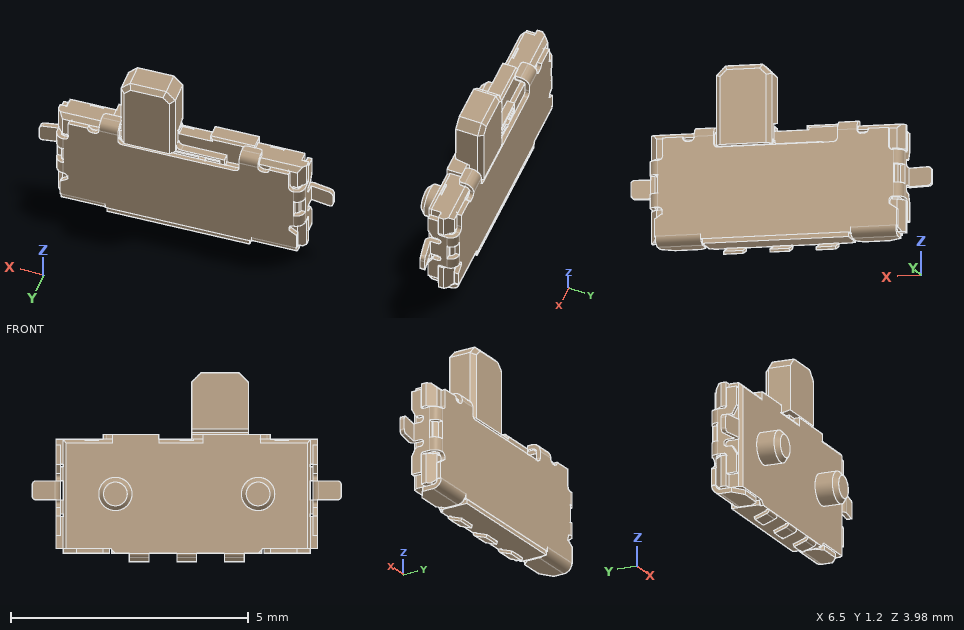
import cadquery as cq
import math


HALF_WIDTH = 2.6
RIM_HALF_WIDTH = 2.75
HALF_HEIGHT = 1.15
LIP_HALF_HEIGHT = 1.25
HOUSING_DEPTH = 0.6
RIM_FRONT_Y = 0.3
RIM_CHAMFER_Y = 0.42
FRONT_CHAMFER_X = 0.06
FRONT_CHAMFER = 0.08
BACK_CHAMFER = 0.1
LIP_BACK_Y = 0.35
LEFT_LIP_X = (-1.565, -0.585)
LEFT_LIP_CHAMFER = 0.05
RIGHT_LIP_X = (0.34, 1.545)
LIP_STEP_Y = 0.12
FLANGE_TOP_HALF = 1.6
FLANGE_BOTTOM_HALF = 1.5
FLANGE_BACK_HALF = 1.58
FLANGE_SLANT_DEPTH = 0.06
PEG_X = 1.5
PEG_RADIUS = 0.35
PEG_LENGTH = 0.5
PEG_CHAMFER = 0.1
MARK_SPACING = 2.0
MARK_WIDTH = 0.28
MARK_Y = (FRONT_CHAMFER, 0.12)
MARK_DEPTH = 0.03

CAVITY_HALF_WIDTH = 2.4
CHANNEL_FRONT_Y = LIP_BACK_Y
CHANNEL_Z = (0.65, 1.05)
POCKET_FRONT_Y = 0.45
POCKET_BOTTOM_Z = -0.75
SLOT_HALF_WIDTH = 1.4
KNOB_X = 0.7
KNOB_WIDTH = 1.2
KNOB_TOP = 2.55
KNOB_Y = (0.1, 0.7)
KNOB_CORNER = 0.2
KNOB_BACK_CHAMFER = 0.1
KNOB_LIP_Z = 1.365
NECK_TOP_Z = 1.295
NECK_FRONT_Y = 0.41
KNOB_BACK_BOTTOM_Z = 0.85
BASE_HALF_LENGTH = 1.66
BASE_BACK_Y = 0.515
BASE_TOP_Z = 0.85
BASE_FILLET = 0.1

CONTACT_HALF_LENGTH = 1.56
CONTACT_BACK_Y = 0.55
CONTACT_Z = (0.7, 0.8)
CONTACT_BUMP_OFFSET = 1.175
CONTACT_BUMP_WIDTH = 0.15

SHEET = 0.1
BEND_OUTER = 0.2
BEND_INNER = BEND_OUTER - SHEET
COVER_BACK_Y = HOUSING_DEPTH + SHEET
BEND_Y = COVER_BACK_Y - BEND_OUTER
BEND_Z = LIP_HALF_HEIGHT - BEND_OUTER
BEND_X = RIM_HALF_WIDTH - BEND_OUTER
EDGE_LOW_Z = 0.95
EDGE_CENTER_Z = 0.8
EDGE_FILLET = BEND_Z - EDGE_LOW_Z
UPPER_EDGE_X = 2.44
BUMP_FOOT_X = 1.91
RELIEF_X = 2.45
RELIEF_BOTTOM_Z = -0.57
RELIEF_FOOT_Z = -0.685
TOP_TAB_X = 1.55
TOP_TAB_WIDTH = 0.42
TOP_TAB_TIP_Y = 0.35
TOP_TAB_CORNER = 0.07
LOWER_EDGE_X = 2.62
BOTTOM_TAB_X = (1.62, 2.6)
BOTTOM_TAB_TIP_X = (1.76, 2.32)
BOTTOM_TAB_TIP_Y = 0.05
BOTTOM_TAB_SHOULDER_Y = 0.245

WALL_Z = 0.075
WALL_HALF_HEIGHT = 0.5
RIM_GAP_HALF_HEIGHT = 0.545
EAR_HALF_HEIGHT = 0.95
EAR_Y = (0.06, 0.29)
EAR_FILLET = 0.06
EAR_SLANT_Z = 0.54
SLANT_END_Y = 0.166
WALL_SLOT_OUTER_Z = 0.355
WALL_SLOT_ROUND_Y = 0.275
SOLDER_HALF_WIDTH = 0.2
SOLDER_TIP_X = 3.25
SOLDER_TIP_Y = (0.085, 0.19)
SOLDER_ROOT_Y = 0.115
SOLDER_BEND = 0.12
SOLDER_CORNER = 0.08

TERMINAL_PITCH = 1.0
TERMINAL_WIDTH = 0.42
TERMINAL_SHEET = 0.065
TERMINAL_BEND = 0.09
TERMINAL_BOTTOM_Z = -1.43
TERMINAL_SLOPE = 20


def block(x, y, z):
    """Box from (low, high) pairs along each axis."""
    size = (x[1] - x[0], y[1] - y[0], z[1] - z[0])
    return cq.Workplane("XY").box(*size, centered=False).translate((x[0], y[0], z[0]))


def yz_prism(sketch, x):
    """Extrude a closed YZ wire between two X positions."""
    return sketch.extrude(x[1] - x[0]).translate((x[0], 0, 0))


def both_sides(shape):
    """The shape together with its mirror image across X = 0."""
    return shape.union(shape.mirror("YZ"))


def housing_shell():
    core = (
        cq.Workplane("XY")
        .moveTo(-HALF_WIDTH + FRONT_CHAMFER_X, 0)
        .lineTo(HALF_WIDTH - FRONT_CHAMFER_X, 0)
        .lineTo(HALF_WIDTH, FRONT_CHAMFER)
        .lineTo(HALF_WIDTH, HOUSING_DEPTH - BACK_CHAMFER)
        .lineTo(HALF_WIDTH - BACK_CHAMFER, HOUSING_DEPTH)
        .lineTo(-HALF_WIDTH + BACK_CHAMFER, HOUSING_DEPTH)
        .lineTo(-HALF_WIDTH, HOUSING_DEPTH - BACK_CHAMFER)
        .lineTo(-HALF_WIDTH, FRONT_CHAMFER)
        .close()
        .extrude(2 * HALF_HEIGHT)
        .translate((0, 0, -HALF_HEIGHT))
    )
    rim = (
        cq.Workplane("XY")
        .moveTo(-RIM_HALF_WIDTH, RIM_FRONT_Y)
        .lineTo(RIM_HALF_WIDTH, RIM_FRONT_Y)
        .lineTo(RIM_HALF_WIDTH, RIM_CHAMFER_Y)
        .lineTo(HALF_WIDTH, HOUSING_DEPTH)
        .lineTo(-HALF_WIDTH, HOUSING_DEPTH)
        .lineTo(-RIM_HALF_WIDTH, RIM_CHAMFER_Y)
        .close()
        .extrude(2 * HALF_HEIGHT)
        .translate((0, 0, -HALF_HEIGHT))
    )
    rim_gap = block(
        (-RIM_HALF_WIDTH, RIM_HALF_WIDTH),
        (0, HOUSING_DEPTH),
        (WALL_Z - RIM_GAP_HALF_HEIGHT, WALL_Z + RIM_GAP_HALF_HEIGHT),
    )
    side_profile = (
        cq.Workplane("YZ")
        .moveTo(0, -HALF_HEIGHT)
        .lineTo(HOUSING_DEPTH - BACK_CHAMFER, -HALF_HEIGHT)
        .lineTo(HOUSING_DEPTH, -HALF_HEIGHT + BACK_CHAMFER)
        .lineTo(HOUSING_DEPTH, HALF_HEIGHT - BACK_CHAMFER)
        .lineTo(HOUSING_DEPTH - BACK_CHAMFER, HALF_HEIGHT)
        .lineTo(FRONT_CHAMFER, HALF_HEIGHT)
        .lineTo(0, HALF_HEIGHT - FRONT_CHAMFER)
        .close()
    )
    envelope = yz_prism(side_profile, (-RIM_HALF_WIDTH, RIM_HALF_WIDTH))
    return core.union(rim.cut(rim_gap)).intersect(envelope)


def housing_lips():
    lip_z = (HALF_HEIGHT - FRONT_CHAMFER, LIP_HALF_HEIGHT)
    left = (
        block(LEFT_LIP_X, (0, LIP_BACK_Y), lip_z)
        .edges(">X and >Y").chamfer(LEFT_LIP_CHAMFER)
        .faces(">Z").edges(">Y").chamfer(LEFT_LIP_CHAMFER)
    )
    right = block(RIGHT_LIP_X, (0, LIP_BACK_Y), lip_z)
    step_x = (KNOB_X - KNOB_WIDTH / 2, RIGHT_LIP_X[0])
    step = block(step_x, (LIP_STEP_Y, LIP_BACK_Y), lip_z)
    return left.union(right).union(step)


def housing_flange():
    back = block(
        (-FLANGE_BACK_HALF, FLANGE_BACK_HALF),
        (FLANGE_SLANT_DEPTH, COVER_BACK_Y),
        (-LIP_HALF_HEIGHT, -HALF_HEIGHT),
    )
    front = (
        cq.Workplane("XZ")
        .moveTo(-FLANGE_TOP_HALF, -HALF_HEIGHT)
        .lineTo(FLANGE_TOP_HALF, -HALF_HEIGHT)
        .lineTo(FLANGE_BOTTOM_HALF, -LIP_HALF_HEIGHT)
        .lineTo(-FLANGE_BOTTOM_HALF, -LIP_HALF_HEIGHT)
        .close()
        .extrude(-FLANGE_SLANT_DEPTH)
    )
    return back.union(front)


def housing_pegs():
    return (
        cq.Workplane("XZ")
        .pushPoints([(-PEG_X, 0), (PEG_X, 0)])
        .circle(PEG_RADIUS)
        .extrude(PEG_LENGTH)
        .faces("<Y").edges().chamfer(PEG_CHAMFER)
    )


def housing_cavity():
    cavity_x = (-CAVITY_HALF_WIDTH, CAVITY_HALF_WIDTH)
    channel = block(cavity_x, (CHANNEL_FRONT_Y, HOUSING_DEPTH), CHANNEL_Z)
    pocket = block(cavity_x, (POCKET_FRONT_Y, HOUSING_DEPTH), (POCKET_BOTTOM_Z, CHANNEL_Z[0]))
    slot = block(
        (-SLOT_HALF_WIDTH, SLOT_HALF_WIDTH),
        (CHANNEL_FRONT_Y, HOUSING_DEPTH),
        (CHANNEL_Z[0], LIP_HALF_HEIGHT),
    )
    return channel.union(pocket).union(slot)


def make_housing():
    body = housing_shell().union(housing_lips()).union(housing_flange())
    body = body.union(housing_pegs()).cut(housing_cavity())
    for index in (-1, 0, 1):
        center = index * MARK_SPACING
        mark_x = (center - MARK_WIDTH / 2, center + MARK_WIDTH / 2)
        body = body.cut(block(mark_x, MARK_Y, (HALF_HEIGHT - MARK_DEPTH, HALF_HEIGHT)))
    return body


def make_slider():
    knob_x = (KNOB_X - KNOB_WIDTH / 2, KNOB_X + KNOB_WIDTH / 2)
    blank = block(knob_x, KNOB_Y, (0, KNOB_TOP))
    blank = blank.faces(">Z").edges("|Y").chamfer(KNOB_CORNER)
    blank = blank.faces(">Y").edges().chamfer(KNOB_BACK_CHAMFER)
    side_profile = (
        cq.Workplane("YZ")
        .moveTo(KNOB_Y[0], KNOB_LIP_Z)
        .lineTo(NECK_FRONT_Y, NECK_TOP_Z)
        .lineTo(NECK_FRONT_Y, CHANNEL_Z[0])
        .lineTo(BASE_BACK_Y, CHANNEL_Z[0])
        .lineTo(BASE_BACK_Y, KNOB_BACK_BOTTOM_Z)
        .lineTo(KNOB_Y[1], KNOB_BACK_BOTTOM_Z)
        .lineTo(KNOB_Y[1], KNOB_TOP)
        .lineTo(KNOB_Y[0], KNOB_TOP)
        .close()
    )
    knob = blank.intersect(yz_prism(side_profile, knob_x))
    base_y = (CHANNEL_FRONT_Y, BASE_BACK_Y)
    base_x = (KNOB_X - BASE_HALF_LENGTH, KNOB_X + BASE_HALF_LENGTH)
    base = block(base_x, base_y, (CHANNEL_Z[0], BASE_TOP_Z))
    root = (
        cq.Workplane("XZ", origin=(0, base_y[0], 0))
        .moveTo(knob_x[0] - BASE_FILLET, BASE_TOP_Z)
        .radiusArc((knob_x[0], BASE_TOP_Z + BASE_FILLET), -BASE_FILLET)
        .lineTo(knob_x[0] + BASE_FILLET, BASE_TOP_Z + BASE_FILLET)
        .lineTo(knob_x[0] + BASE_FILLET, BASE_TOP_Z)
        .close()
        .extrude(base_y[0] - base_y[1])
    )
    return knob.union(base).union(root)


def make_contact():
    plate_x = (KNOB_X - CONTACT_HALF_LENGTH, KNOB_X + CONTACT_HALF_LENGTH)
    contact = block(plate_x, (BASE_BACK_Y, CONTACT_BACK_Y), CONTACT_Z)
    for side in (-1, 1):
        center = KNOB_X + side * CONTACT_BUMP_OFFSET
        bump_x = (center - CONTACT_BUMP_WIDTH / 2, center + CONTACT_BUMP_WIDTH / 2)
        contact = contact.union(block(bump_x, (CONTACT_BACK_Y, HOUSING_DEPTH), CONTACT_Z))
    return contact


def cover_half_plate():
    """Back plate on the +X side, with its stepped edge."""
    tab_inner = TOP_TAB_X - TOP_TAB_WIDTH / 2
    tab_outer = TOP_TAB_X + TOP_TAB_WIDTH / 2
    wall_top = WALL_Z + WALL_HALF_HEIGHT
    wall_bottom = WALL_Z - WALL_HALF_HEIGHT
    relief_radius = BEND_X - RELIEF_X
    return (
        cq.Workplane("XZ", origin=(0, HOUSING_DEPTH, 0))
        .moveTo(0, EDGE_CENTER_Z)
        .lineTo(tab_inner - EDGE_FILLET, EDGE_CENTER_Z)
        .radiusArc((tab_inner, EDGE_CENTER_Z + EDGE_FILLET), -EDGE_FILLET)
        .lineTo(tab_inner, BEND_Z)
        .lineTo(tab_outer, BEND_Z)
        .radiusArc((tab_outer + EDGE_FILLET, EDGE_LOW_Z), -EDGE_FILLET)
        .lineTo(BUMP_FOOT_X, EDGE_LOW_Z)
        .radiusArc((BUMP_FOOT_X + EDGE_FILLET, BEND_Z), -EDGE_FILLET)
        .lineTo(UPPER_EDGE_X, BEND_Z)
        .lineTo(UPPER_EDGE_X, wall_top + EDGE_FILLET)
        .radiusArc((UPPER_EDGE_X + EDGE_FILLET, wall_top), -EDGE_FILLET)
        .lineTo(BEND_X, wall_top)
        .lineTo(BEND_X, wall_bottom)
        .radiusArc((RELIEF_X, wall_bottom - relief_radius), -relief_radius)
        .lineTo(RELIEF_X, RELIEF_BOTTOM_Z)
        .lineTo(LOWER_EDGE_X, RELIEF_FOOT_Z)
        .lineTo(LOWER_EDGE_X, -BEND_Z)
        .lineTo(BOTTOM_TAB_X[0], -BEND_Z)
        .lineTo(BOTTOM_TAB_X[0], -HALF_HEIGHT)
        .lineTo(0, -HALF_HEIGHT)
        .close()
        .extrude(-SHEET)
    )


def folded_tab(x, tip_y, side):
    """Tab folded forward from the plate over the top (side 1) or bottom (side -1)."""
    outer_z = side * LIP_HALF_HEIGHT
    inner_z = side * HALF_HEIGHT
    bend_z = side * BEND_Z
    profile = (
        cq.Workplane("YZ")
        .moveTo(COVER_BACK_Y, bend_z)
        .radiusArc((BEND_Y, outer_z), -side * BEND_OUTER)
        .lineTo(tip_y, outer_z)
        .lineTo(tip_y, inner_z)
        .lineTo(BEND_Y, inner_z)
        .radiusArc((HOUSING_DEPTH, bend_z), side * BEND_INNER)
        .close()
    )
    return yz_prism(profile, x)


def cover_top_tab():
    tab_x = (TOP_TAB_X - TOP_TAB_WIDTH / 2, TOP_TAB_X + TOP_TAB_WIDTH / 2)
    tab = folded_tab(tab_x, TOP_TAB_TIP_Y, 1)
    return tab.faces("<Y").edges("|Z").fillet(TOP_TAB_CORNER)


def cover_bottom_tab():
    inner_shoulder_y = BOTTOM_TAB_TIP_Y + BOTTOM_TAB_TIP_X[0] - BOTTOM_TAB_X[0]
    outline = (
        cq.Workplane("XY", origin=(0, 0, -LIP_HALF_HEIGHT))
        .moveTo(BOTTOM_TAB_X[0], COVER_BACK_Y)
        .lineTo(BOTTOM_TAB_X[0], inner_shoulder_y)
        .lineTo(BOTTOM_TAB_TIP_X[0], BOTTOM_TAB_TIP_Y)
        .lineTo(BOTTOM_TAB_TIP_X[1], BOTTOM_TAB_TIP_Y)
        .lineTo(BOTTOM_TAB_X[1], BOTTOM_TAB_SHOULDER_Y)
        .lineTo(BOTTOM_TAB_X[1], COVER_BACK_Y)
        .close()
        .extrude(BEND_OUTER)
    )
    return folded_tab(BOTTOM_TAB_X, BOTTOM_TAB_TIP_Y, -1).intersect(outline)


def end_wall_half():
    """Upper half of the flat end wall: root, ear and the slot beside the solder tab."""
    slot_radius = (WALL_SLOT_OUTER_Z - SOLDER_HALF_WIDTH) / 2
    profile = (
        cq.Workplane("YZ")
        .moveTo(BEND_Y, 0)
        .lineTo(BEND_Y, WALL_HALF_HEIGHT)
        .lineTo(EAR_Y[1] + EAR_FILLET, WALL_HALF_HEIGHT)
        .radiusArc((EAR_Y[1], WALL_HALF_HEIGHT + EAR_FILLET), EAR_FILLET)
        .lineTo(EAR_Y[1], EAR_HALF_HEIGHT)
        .lineTo(EAR_Y[0], EAR_HALF_HEIGHT)
        .lineTo(EAR_Y[0], EAR_SLANT_Z)
        .lineTo(SLANT_END_Y, WALL_SLOT_OUTER_Z)
        .lineTo(WALL_SLOT_ROUND_Y, WALL_SLOT_OUTER_Z)
        .threePointArc(
            (WALL_SLOT_ROUND_Y + slot_radius, SOLDER_HALF_WIDTH + slot_radius),
            (WALL_SLOT_ROUND_Y, SOLDER_HALF_WIDTH),
        )
        .lineTo(WALL_SLOT_ROUND_Y, 0)
        .close()
    )
    return yz_prism(profile, (RIM_HALF_WIDTH - SHEET, RIM_HALF_WIDTH))


def end_wall_bend():
    """Quarter bend from plate to end wall, split by a window at the solder tab."""
    bend = (
        cq.Workplane("XY")
        .moveTo(BEND_X, COVER_BACK_Y)
        .radiusArc((RIM_HALF_WIDTH, BEND_Y), BEND_OUTER)
        .lineTo(RIM_HALF_WIDTH - SHEET, BEND_Y)
        .radiusArc((BEND_X, HOUSING_DEPTH), -BEND_INNER)
        .close()
        .extrude(WALL_HALF_HEIGHT, both=True)
    )
    window = block(
        (BEND_X, RIM_HALF_WIDTH),
        (BEND_Y, COVER_BACK_Y),
        (-SOLDER_HALF_WIDTH, SOLDER_HALF_WIDTH),
    )
    return bend.cut(window)


def solder_tab():
    """Strip that runs down the end wall and turns outward."""
    inner_x = RIM_HALF_WIDTH - SHEET
    return (
        cq.Workplane("XY")
        .moveTo(RIM_HALF_WIDTH, WALL_SLOT_ROUND_Y)
        .lineTo(RIM_HALF_WIDTH, SOLDER_ROOT_Y)
        .lineTo(SOLDER_TIP_X, SOLDER_TIP_Y[1])
        .lineTo(SOLDER_TIP_X, SOLDER_TIP_Y[0])
        .lineTo(inner_x + SOLDER_BEND, 0)
        .radiusArc((inner_x, SOLDER_BEND), SOLDER_BEND)
        .lineTo(inner_x, WALL_SLOT_ROUND_Y)
        .close()
        .extrude(SOLDER_HALF_WIDTH, both=True)
        .faces(">X").edges("|Y").fillet(SOLDER_CORNER)
    )


def make_cover():
    upper = end_wall_half()
    wall = upper.union(upper.mirror("XY")).union(end_wall_bend()).union(solder_tab())
    half = cover_half_plate().union(wall.translate((0, 0, WALL_Z)))
    half = half.union(cover_top_tab()).union(cover_bottom_tab())
    return both_sides(half)


def make_terminal(center_x):
    """Lead that leaves the housing underside and slopes back to its tip."""
    slope = math.radians(TERMINAL_SLOPE)
    along_y, along_z = math.cos(slope), -math.sin(slope)
    inner_bend = TERMINAL_BEND - TERMINAL_SHEET
    outer_y = TERMINAL_BEND * (1 + along_z)
    outer_z = -LIP_HALF_HEIGHT - TERMINAL_BEND * along_y
    inner_y = TERMINAL_BEND + inner_bend * along_z
    inner_z = -LIP_HALF_HEIGHT - inner_bend * along_y
    length = (TERMINAL_BOTTOM_Z - outer_z) / along_z
    profile = (
        cq.Workplane("YZ")
        .moveTo(0, -LIP_HALF_HEIGHT)
        .radiusArc((outer_y, outer_z), -TERMINAL_BEND)
        .lineTo(outer_y + length * along_y, TERMINAL_BOTTOM_Z)
        .lineTo(inner_y + length * along_y, inner_z + length * along_z)
        .lineTo(inner_y, inner_z)
        .radiusArc((TERMINAL_SHEET, -LIP_HALF_HEIGHT), inner_bend)
        .close()
    )
    return yz_prism(profile, (center_x - TERMINAL_WIDTH / 2, center_x + TERMINAL_WIDTH / 2))


housing = make_housing()
slider = make_slider()
contact = make_contact()
cover = make_cover()
terminals = [make_terminal(index * TERMINAL_PITCH) for index in (-1, 0, 1)]

result = cq.Compound.makeCompound(
    [
        housing.solids().val(),
        slider.solids().val(),
        contact.solids().val(),
        cover.solids().val(),
        *[terminal.solids().val() for terminal in terminals],
    ]
)